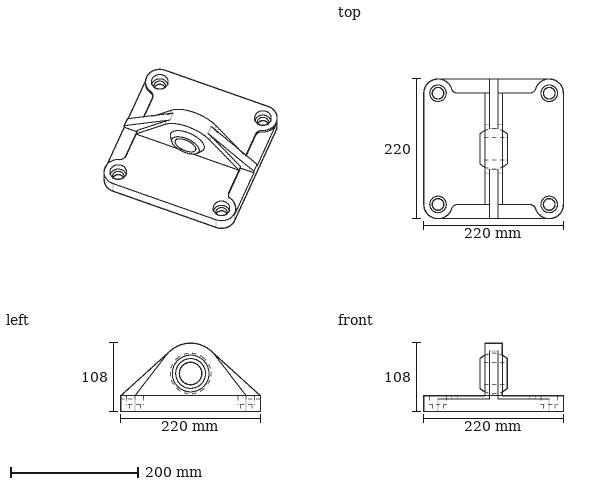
import cadquery as cq
import math

plate_side = 220.0
plate_height = 25.0
corner_radius = 22.5
hole_offset = plate_side / 2 - corner_radius

recess_depth = 5.0
recess_fillet = 10.0

bolt_hole_diameter = 18.0
counterbore_diameter = 26.0
counterbore_depth = 14.0

eye_height = 60.0
eye_radius = 48.0
eye_thickness = 27.5
eye_foot = hole_offset
rib_thickness = 13.5
rib_foot = plate_side / 2
root_height = plate_height - recess_depth

ball_radius = 32.0
ball_width = 43.5
ball_bore = 35.0


def make_plate():
    plate = cq.Workplane("XY").box(plate_side, plate_side, plate_height, centered=(True, True, False))
    return plate.edges("|Z").fillet(corner_radius)


def recess_cutter():
    """Recess on the +Y side: straight inner edge, blended into a round pad at each corner."""
    outer_y = plate_side / 2
    inner_y = hole_offset
    fillet_reach = math.sqrt((corner_radius + recess_fillet) ** 2 - recess_fillet**2)
    fillet_x = hole_offset - fillet_reach
    fillet_y = inner_y + recess_fillet
    share = corner_radius / (corner_radius + recess_fillet)
    blend_x = hole_offset - share * fillet_reach
    blend_y = inner_y + share * recess_fillet
    blend_angle = math.atan2(recess_fillet, fillet_reach)
    middle_angle = (blend_angle + math.pi / 2) / 2
    pad_x = hole_offset - corner_radius * math.cos(middle_angle)
    pad_y = inner_y + corner_radius * math.sin(middle_angle)
    turn_x = fillet_x + recess_fillet * math.cos(middle_angle)
    turn_y = fillet_y - recess_fillet * math.sin(middle_angle)
    return (
        cq.Workplane("XY", origin=(0, 0, root_height))
        .moveTo(-hole_offset, outer_y)
        .threePointArc((-pad_x, pad_y), (-blend_x, blend_y))
        .threePointArc((-turn_x, turn_y), (-fillet_x, inner_y))
        .lineTo(fillet_x, inner_y)
        .threePointArc((turn_x, turn_y), (blend_x, blend_y))
        .threePointArc((pad_x, pad_y), (hole_offset, outer_y))
        .close()
        .extrude(recess_depth)
    )


def tapered_web(foot, thickness):
    """Upright web centred on X = 0, its sloping sides tangent to the round eye head."""
    rise = eye_height - plate_height
    tangent_angle = math.acos(eye_radius / math.hypot(foot, rise)) - math.atan2(rise, foot)
    tangent_y = eye_radius * math.cos(tangent_angle)
    tangent_z = eye_height + eye_radius * math.sin(tangent_angle)
    return (
        cq.Workplane("YZ", origin=(-thickness / 2, 0, 0))
        .moveTo(-foot, root_height)
        .lineTo(foot, root_height)
        .lineTo(foot, plate_height)
        .lineTo(tangent_y, tangent_z)
        .threePointArc((0, eye_height + eye_radius), (-tangent_y, tangent_z))
        .lineTo(-foot, plate_height)
        .close()
        .extrude(thickness)
    )


def ball_zone():
    """Sphere centred in the eye, cut off flat at both ends, with its axis along X."""
    half_width = ball_width / 2
    end_radius = math.sqrt(ball_radius**2 - half_width**2)
    return (
        cq.Workplane("XZ", origin=(0, 0, eye_height))
        .moveTo(-half_width, 0)
        .lineTo(-half_width, end_radius)
        .threePointArc((0, ball_radius), (half_width, end_radius))
        .lineTo(half_width, 0)
        .close()
        .revolve(360, (0, 0), (1, 0))
    )


def make_bracket():
    bracket = make_plate()
    recess = recess_cutter()
    bracket = bracket.cut(recess).cut(recess.mirror("XZ"))
    bracket = bracket.union(tapered_web(eye_foot, eye_thickness))
    bracket = bracket.union(tapered_web(rib_foot, rib_thickness))
    bracket = (
        bracket.copyWorkplane(cq.Workplane("XY", origin=(0, 0, plate_height)))
        .rect(2 * hole_offset, 2 * hole_offset, forConstruction=True)
        .vertices()
        .cboreHole(bolt_hole_diameter, counterbore_diameter, counterbore_depth)
    )
    return bracket.cut(ball_zone())


def make_ball():
    bore = (
        cq.Workplane("YZ", origin=(-ball_width / 2, 0, eye_height))
        .circle(ball_bore / 2)
        .extrude(ball_width)
    )
    return ball_zone().cut(bore)


bracket = make_bracket()
ball = make_ball()
result = cq.Compound.makeCompound([bracket.val(), ball.val()])